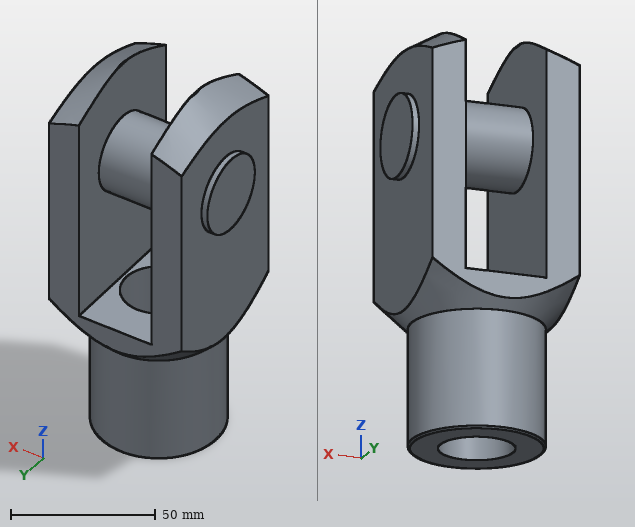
import cadquery as cq
import math

height = 148.0
body_width = 55.0
half_width = body_width / 2
corner_radius = half_width * math.sqrt(2)

shank_diameter = 48.0
shank_radius = shank_diameter / 2
shank_length = 43.2
shank_chamfer = 0.7
shoulder_angle = 45.0

crown_flat_radius = 15.4
crown_angle = 30.0

slot_width = 30.0
slot_floor = 55.8
pin_diameter = 30.0
pin_length = 60.0
pin_height = 110.1
bore_diameter = 27.0


def turned_envelope():
    """Revolved blank: shank, shoulder cone, wide middle and crown cone."""
    outer_radius = corner_radius + 1.5
    shoulder_top = shank_length + (outer_radius - shank_radius) * math.tan(math.radians(shoulder_angle))
    crown_base = height - (outer_radius - crown_flat_radius) * math.tan(math.radians(crown_angle))
    return (
        cq.Workplane("XZ")
        .moveTo(0, 0)
        .lineTo(shank_radius - shank_chamfer, 0)
        .lineTo(shank_radius, shank_chamfer)
        .lineTo(shank_radius, shank_length)
        .lineTo(outer_radius, shoulder_top)
        .lineTo(outer_radius, crown_base)
        .lineTo(crown_flat_radius, height)
        .lineTo(0, height)
        .close()
        .revolve(360, (0, 0, 0), (0, 1, 0))
    )


def fork_slot():
    """Slot open at the top and through the body along Y."""
    return (
        cq.Workplane("XY", origin=(0, 0, slot_floor))
        .rect(slot_width, body_width)
        .extrude(height - slot_floor)
    )


def shank_bore():
    """Axial bore from the shank end to the slot floor."""
    return cq.Workplane("XY").circle(bore_diameter / 2).extrude(slot_floor)


def clevis_pin():
    """Cross pin along X, standing proud of both cheeks."""
    return (
        cq.Workplane("YZ")
        .center(0, pin_height)
        .circle(pin_diameter / 2)
        .extrude(pin_length / 2, both=True)
    )


square_bar = cq.Workplane("XY").rect(body_width, body_width).extrude(height)
body = square_bar.intersect(turned_envelope())
result = body.cut(fork_slot()).cut(shank_bore()).union(clevis_pin())